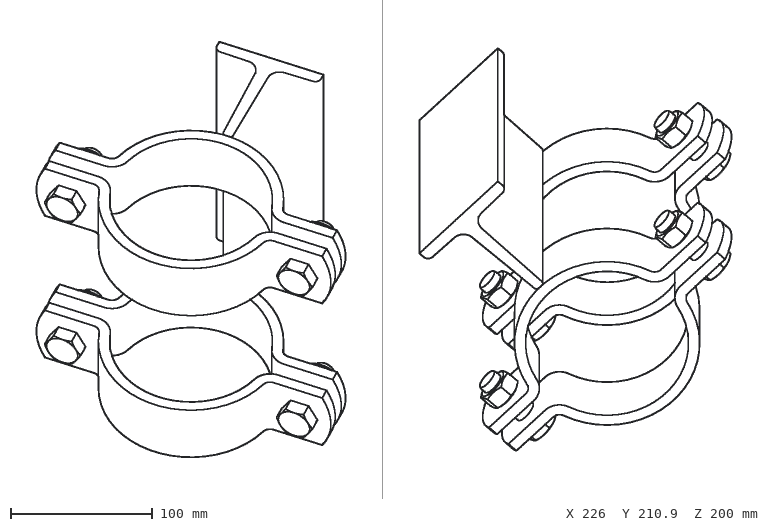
import cadquery as cq
import math

overall_length = 226.0
overall_height = 200.0

bar_size = 80.0
bar_thickness = 9.0
bar_taper = 0.02
root_radius = bar_thickness
toe_radius = root_radius / 2
web_end_radius = 2.0

clamp_diameter = 130.9
clamp_width = 50.0
strap_thickness = 8.0
ear_gap = 11.0
bend_radius = 6.3
ear_end_radius = clamp_width

bolt_spacing = 177.9
bolt_diameter = 16.0
bolt_tip_diameter = 15.0
bolt_tip_length = 2.0
bolt_reach = 32.0
hex_flats = 24.0
head_height = 10.0
nut_height = 13.0
nut_face_diameter = 22.0
head_face_diameter = hex_flats
hex_chamfer_angle = 30.0

clamp_radius = clamp_diameter / 2
bore_radius = clamp_radius - strap_thickness
ear_inner_y = ear_gap / 2
ear_outer_y = ear_inner_y + strap_thickness
clamp_offset = (overall_height - clamp_width) / 2
hex_corners = hex_flats / math.cos(math.radians(30))


def make_t_bar():
    """Tapered T section whose web end touches the backs of the clamps."""
    back_y = clamp_radius + bar_size
    half_width = bar_size / 2

    def web_half_thickness(depth):
        return bar_thickness / 2 + bar_taper * (bar_size / 2 - depth)

    def flange_thickness(x):
        return bar_thickness + bar_taper * (bar_size / 4 - x)

    root_depth = flange_thickness(web_half_thickness(bar_thickness))
    toe = (half_width, back_y - flange_thickness(half_width))
    root = (web_half_thickness(root_depth), back_y - root_depth)
    web_end = (web_half_thickness(bar_size), clamp_radius)

    right_side = [(half_width, back_y), toe, root, web_end]
    left_side = [(-x, y) for x, y in reversed(right_side)]
    bar = (
        cq.Workplane("XY")
        .workplane(offset=-overall_height / 2)
        .polyline(right_side + left_side)
        .close()
        .extrude(overall_height)
    )
    for corner, radius in ((toe, toe_radius), (root, root_radius), (web_end, web_end_radius)):
        for side in (-1, 1):
            near_corner = cq.selectors.NearestToPointSelector((side * corner[0], corner[1], 0))
            bar = bar.edges("|Z").edges(near_corner).fillet(radius)
    return bar


def make_clamp_half():
    """Bent strap with two ears, on the +Y side of the clamp centre plane."""
    wide_bend_radius = bend_radius + strap_thickness
    bend_y = ear_outer_y + bend_radius
    bend_distance = clamp_radius + bend_radius
    bend_x = math.sqrt(bend_distance**2 - bend_y**2)
    strap_angle = math.atan2(bend_y, bend_x)
    middle_angle = (strap_angle + math.pi / 2) / 2

    def on_strap(radius, angle):
        return (radius * math.cos(angle), radius * math.sin(angle))

    def on_bend_middle(radius):
        return (bend_x - radius * math.cos(middle_angle), bend_y - radius * math.sin(middle_angle))

    right_half = (
        cq.Workplane("XY")
        .workplane(offset=-clamp_width / 2)
        .moveTo(0, clamp_radius)
        .threePointArc(on_strap(clamp_radius, middle_angle), on_strap(clamp_radius, strap_angle))
        .threePointArc(on_bend_middle(bend_radius), (bend_x, ear_outer_y))
        .lineTo(overall_length / 2, ear_outer_y)
        .lineTo(overall_length / 2, ear_inner_y)
        .lineTo(bend_x, ear_inner_y)
        .threePointArc(on_bend_middle(wide_bend_radius), on_strap(bore_radius, strap_angle))
        .threePointArc(on_strap(bore_radius, middle_angle), (0, bore_radius))
        .close()
        .extrude(clamp_width)
    )
    strap = right_half.union(right_half.mirror("YZ")).clean()
    return strap.intersect(make_ear_envelope())


def make_ear_envelope():
    """Block with rounded ends that trims the ears to their arcs."""
    half_width = clamp_width / 2
    end_sagitta = ear_end_radius - math.sqrt(ear_end_radius**2 - half_width**2)
    tip_x = overall_length / 2
    corner_x = tip_x - end_sagitta
    return (
        cq.Workplane("XZ")
        .moveTo(-corner_x, -half_width)
        .lineTo(corner_x, -half_width)
        .threePointArc((tip_x, 0), (corner_x, half_width))
        .lineTo(-corner_x, half_width)
        .threePointArc((-tip_x, 0), (-corner_x, -half_width))
        .close()
        .extrude(-clamp_diameter)
    )


def revolve_about_y(profile):
    return cq.Workplane("XY").polyline(profile).close().revolve(360, (0, 0, 0), (0, 1, 0))


def make_hexagon(height):
    """Hexagonal prism from y = 0 to y = height with two corners on X."""
    return cq.Workplane("XZ").polygon(6, hex_corners).extrude(-height)


def make_chamfer_cone(height, face_diameter):
    """Cone frustum that leaves a face circle at y = 0 and clears the hexagon at y = height."""
    face_radius = face_diameter / 2
    wide_radius = face_radius + height / math.tan(math.radians(hex_chamfer_angle))
    return revolve_about_y([(0, 0), (face_radius, 0), (wide_radius, height), (0, height)])


def make_head():
    """Bolt head, chamfered on its outer end at y = 0."""
    return make_hexagon(head_height).intersect(make_chamfer_cone(head_height, head_face_diameter))


def make_nut():
    """Nut, chamfered on both ends; the bolt fills its bore."""
    near_cone = make_chamfer_cone(nut_height, nut_face_diameter)
    far_cone = near_cone.mirror("XZ").translate((0, nut_height, 0))
    return make_hexagon(nut_height).intersect(near_cone).intersect(far_cone)


def make_fastener():
    """Bolt with its head on the front ear and its nut on the rear ear."""
    shank = revolve_about_y([
        (0, -ear_outer_y),
        (bolt_diameter / 2, -ear_outer_y),
        (bolt_diameter / 2, bolt_reach - bolt_tip_length),
        (bolt_tip_diameter / 2, bolt_reach),
        (0, bolt_reach),
    ])
    head = make_head().translate((0, -ear_outer_y - head_height, 0))
    nut = make_nut().translate((0, ear_outer_y, 0))
    return shank.union(head).union(nut)


def make_clamp():
    """Both strap halves joined by their two bolts into one solid."""
    rear_half = make_clamp_half()
    front_half = rear_half.mirror("XZ")
    fastener = make_fastener()
    clamp = rear_half.union(front_half)
    for side in (-1, 1):
        clamp = clamp.union(fastener.translate((side * bolt_spacing / 2, 0, 0)))
    return clamp


t_bar = make_t_bar()
clamp = make_clamp()
clamps = [clamp.translate((0, 0, side * clamp_offset)) for side in (-1, 1)]

result = cq.Compound.makeCompound([t_bar.solids().val(), *[placed.solids().val() for placed in clamps]])